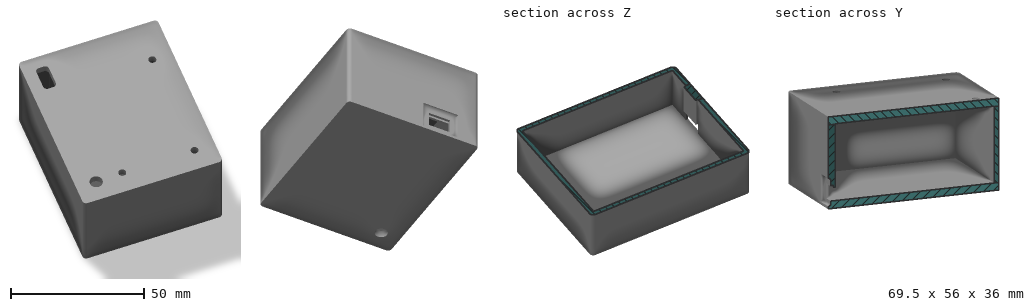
import cadquery as cq

LENGTH = 69.5
WIDTH = 55.95
HEIGHT = 36.0
CORNER_RADIUS = 1.5
PLATE_THICKNESS = 3.1
WALL_THICKNESS = 2.0
LID_BOTTOM_Z = HEIGHT - PLATE_THICKNESS
WALL_HEIGHT = LID_BOTTOM_Z - PLATE_THICKNESS
OUTER_FACE_X = -LENGTH / 2
INNER_FACE_X = OUTER_FACE_X + WALL_THICKNESS

PORT_Y = -11.7
PORT_WIDTH = 9.0
PORT_TOP_Z = 9.0
RECESS_WIDTH = 14.9
RECESS_HEIGHT = 11.0
RECESS_BOTTOM_Z = 1.05
RECESS_DEPTH = 1.0
RECESS_FILLET = 0.9

LIP_THICKNESS = 1.0
LIP_DROP = 0.8

SCREW_HOLE_DIAMETER = 3.0
SCREW_HOLE_POINTS = [(-18.2, 19.75), (26.35, 19.75), (26.35, -9.3)]
THROUGH_HOLE_DIAMETER = 5.0
THROUGH_HOLE_POINT = (26.75, -19.95)
SLOT_LENGTH = 10.1
SLOT_WIDTH = 5.1
SLOT_CORNER_RADIUS = 1.5
SLOT_POINT = (-24.7, -20.5)


def rounded_block(bottom_z, height):
    """Block with the outline of the case and rounded vertical corners."""
    return (
        cq.Workplane("XY", origin=(0, 0, bottom_z))
        .rect(LENGTH, WIDTH)
        .extrude(height)
        .edges("|Z")
        .fillet(CORNER_RADIUS)
    )


def plate(bottom_z):
    """Closing plate with the large hole that passes through the whole case."""
    hole = (
        cq.Workplane("XY", origin=(*THROUGH_HOLE_POINT, bottom_z))
        .circle(THROUGH_HOLE_DIAMETER / 2)
        .extrude(PLATE_THICKNESS)
    )
    return rounded_block(bottom_z, PLATE_THICKNESS).cut(hole)


def port_recess():
    """Shallow rectangular recess around the port, with a filleted floor."""
    return (
        cq.Workplane("XY")
        .box(RECESS_DEPTH, RECESS_WIDTH, RECESS_HEIGHT, centered=(False, True, False))
        .faces(">X")
        .edges()
        .fillet(RECESS_FILLET)
        .translate((OUTER_FACE_X, PORT_Y, RECESS_BOTTOM_Z))
    )


def port_block(start_x, depth, bottom_z):
    """Block as wide as the port, reaching up to the underside of the lid."""
    return (
        cq.Workplane("XY")
        .box(depth, PORT_WIDTH, LID_BOTTOM_Z - bottom_z, centered=(False, True, False))
        .translate((start_x, PORT_Y, bottom_z))
    )


def make_base():
    return plate(0).cut(port_recess())


def make_walls():
    """Open frame between the plates, slotted over its full height at the port."""
    cavity = cq.Workplane("XY").box(
        LENGTH - 2 * WALL_THICKNESS,
        WIDTH - 2 * WALL_THICKNESS,
        HEIGHT,
        centered=(True, True, False),
    )
    opening = port_block(OUTER_FACE_X, WALL_THICKNESS, PLATE_THICKNESS)
    return rounded_block(PLATE_THICKNESS, WALL_HEIGHT).cut(cavity).cut(opening).cut(port_recess())


def make_strip():
    """Filler strip closing the wall slot above the port, with a lower lip inside."""
    filler = port_block(OUTER_FACE_X, WALL_THICKNESS, PORT_TOP_Z)
    lip = port_block(INNER_FACE_X, LIP_THICKNESS, PORT_TOP_Z - LIP_DROP)
    return filler.union(lip).cut(port_recess())


def make_lid():
    """Top plate with three screw holes and a rounded slot."""
    screw_holes = (
        cq.Workplane("XY", origin=(0, 0, LID_BOTTOM_Z))
        .pushPoints(SCREW_HOLE_POINTS)
        .circle(SCREW_HOLE_DIAMETER / 2)
        .extrude(PLATE_THICKNESS)
    )
    slot = (
        cq.Workplane("XY", origin=(*SLOT_POINT, LID_BOTTOM_Z))
        .rect(SLOT_LENGTH, SLOT_WIDTH)
        .extrude(PLATE_THICKNESS)
        .edges("|Z")
        .fillet(SLOT_CORNER_RADIUS)
    )
    return plate(LID_BOTTOM_Z).cut(screw_holes).cut(slot)


base = make_base()
walls = make_walls()
strip = make_strip()
lid = make_lid()

result = cq.Compound.makeCompound([base.val(), walls.val(), strip.val(), lid.val()])